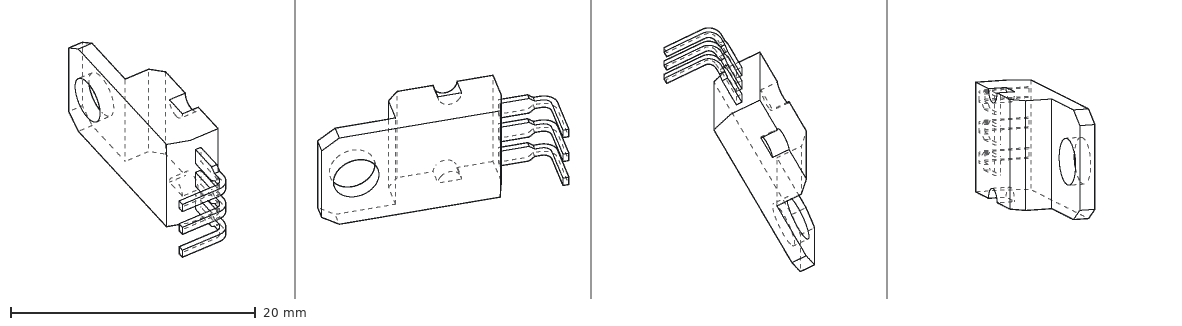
import cadquery as cq
import math


total_length = 20.45
package_width = 9.15

tab_length = 6.6
tab_thickness = 1.33
tab_corner_x = 1.5
tab_corner_z = 1.05
tab_hole_diameter = 3.85
tab_hole_x = 2.93

body_length = 9.13
body_thickness = 4.6
body_chamfer = 1.0
lead_end_bevel_x = 0.61
lead_end_bevel_y = 1.92
notch_radius = 1.0
notch_depth = 1.53
notch_x = 11.66

lead_count = 3
lead_pitch = 2.54
lead_thickness = 0.51
lead_underside_y = 2.41
lead_drop = 1.8
lead_wide_width = 1.55
lead_narrow_width = 0.8
lead_wide_end_x = 18.2
lead_taper_length = 0.47
bend_first_radius = 0.74
bend_second_radius = 1.2 / 2

body_end_x = tab_length + body_length
lead_topside_y = lead_underside_y + lead_thickness
lead_inner_x = total_length - lead_thickness
lead_tip_y = -lead_drop

half_turn_long = math.sin(math.radians(45))
half_turn_short = 1 - half_turn_long
bend_start_x = lead_inner_x - bend_first_radius * half_turn_long - bend_second_radius * half_turn_short
bend_end_y = lead_underside_y - bend_first_radius * half_turn_short - bend_second_radius * half_turn_long
inner_knee_x = bend_start_x + bend_first_radius * half_turn_long
inner_knee_y = lead_underside_y - bend_first_radius * half_turn_short
outer_knee_x = inner_knee_x + lead_thickness * half_turn_long
outer_knee_y = inner_knee_y + lead_thickness * half_turn_long


def make_tab():
    """Flat plate with two cut corners and a mounting hole."""
    half_width = package_width / 2
    outline = [
        (tab_length, -half_width),
        (tab_length, half_width),
        (tab_corner_x, half_width),
        (0, half_width - tab_corner_z),
        (0, -half_width + tab_corner_z),
        (tab_corner_x, -half_width),
    ]
    plate = cq.Workplane("XZ").polyline(outline).close().extrude(-tab_thickness)
    hole = (
        cq.Workplane("XZ")
        .center(tab_hole_x, 0)
        .circle(tab_hole_diameter / 2)
        .extrude(-tab_thickness)
    )
    return plate.cut(hole)


def make_body():
    """Moulded block, chamfered above the tab and bevelled below the leads, with a notch in each side."""
    profile = [
        (tab_length, 0),
        (body_end_x - lead_end_bevel_x, 0),
        (body_end_x, lead_end_bevel_y),
        (body_end_x, body_thickness),
        (tab_length + body_chamfer, body_thickness),
        (tab_length, body_thickness - body_chamfer),
    ]
    body = cq.Workplane("XY").polyline(profile).close().extrude(package_width / 2, both=True)
    notches = (
        cq.Workplane("XZ", origin=(0, body_thickness - notch_depth, 0))
        .pushPoints([(notch_x, package_width / 2), (notch_x, -package_width / 2)])
        .circle(notch_radius)
        .extrude(-notch_depth)
    )
    return body.cut(notches)


def make_lead():
    """One lead on the symmetry plane: bent strip, wide next to the body and narrow through the bend."""
    bent_strip = (
        cq.Workplane("XY")
        .moveTo(body_end_x, lead_underside_y)
        .lineTo(bend_start_x, lead_underside_y)
        .radiusArc((inner_knee_x, inner_knee_y), bend_first_radius)
        .radiusArc((lead_inner_x, bend_end_y), bend_second_radius)
        .lineTo(lead_inner_x, lead_tip_y)
        .lineTo(total_length, lead_tip_y)
        .lineTo(total_length, bend_end_y)
        .radiusArc((outer_knee_x, outer_knee_y), -bend_second_radius - lead_thickness)
        .radiusArc((bend_start_x, lead_topside_y), -bend_first_radius - lead_thickness)
        .lineTo(body_end_x, lead_topside_y)
        .close()
        .extrude(lead_wide_width / 2, both=True)
    )

    narrow_start_x = lead_wide_end_x + lead_taper_length
    width_outline = (
        cq.Workplane("XZ", origin=(0, lead_tip_y, 0))
        .moveTo(body_end_x, 0)
        .lineTo(body_end_x, lead_wide_width / 2)
        .lineTo(lead_wide_end_x, lead_wide_width / 2)
        .lineTo(narrow_start_x, lead_narrow_width / 2)
        .lineTo(total_length, lead_narrow_width / 2)
        .lineTo(total_length, 0)
        .mirrorX()
        .extrude(lead_tip_y - lead_topside_y)
    )
    return bent_strip.intersect(width_outline)


result = make_tab().union(make_body())
lead = make_lead()
for index in range(lead_count):
    lead_z = (index - (lead_count - 1) / 2) * lead_pitch
    result = result.union(lead.translate((0, 0, lead_z)))